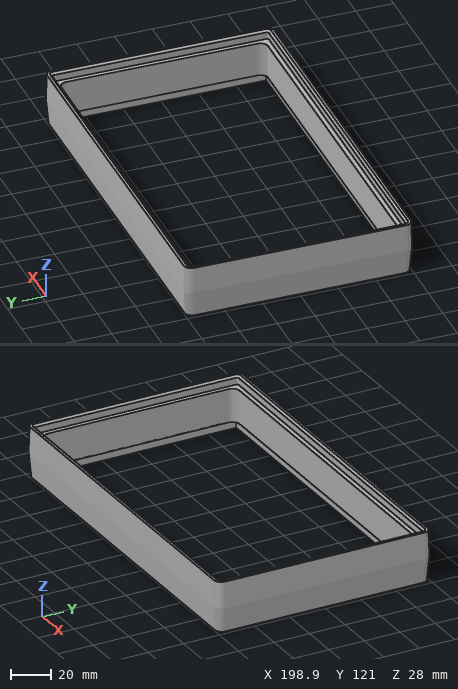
import cadquery as cq

length = 198.9
width = 121.0
height = 28.0
parting_height = 13.7
bottom_draft_inset = 1.0
top_draft_inset = 0.4
shell_corner_radius = 4.0
shell_wall = 3.2

lip_wall = 5.0

cavity_corner_radius = 1.0
mouth_chamfer = 1.2

insert_wall = 2.5
insert_bottom = 4.5
insert_top = 23.0
insert_corner_radius = 4.0


def inset_rectangle(inset, z):
    """Sketch the shell's widest rectangle, moved in by inset on every side."""
    return cq.Workplane("XY", origin=(0, 0, z)).rect(length - 2 * inset, width - 2 * inset)


def inset_block(inset, bottom, top):
    """Extrude an inset rectangle between two heights."""
    return inset_rectangle(inset, bottom).extrude(top - bottom)


def rounded_outline(inset, z):
    """Make the rounded outer outline of the shell at one height."""
    block = inset_block(inset, z, z + 2).edges("|Z").fillet(shell_corner_radius)
    return block.faces("<Z").wires().val()


def drafted_half(lower_inset, lower_z, upper_inset, upper_z):
    """Loft one half of the shell between two rounded outlines."""
    outlines = [rounded_outline(lower_inset, lower_z), rounded_outline(upper_inset, upper_z)]
    return cq.Workplane(cq.Solid.makeLoft(outlines, True))


def cavity_block(bottom, top):
    """Block that fills the shell's cavity between two heights."""
    return inset_block(shell_wall, bottom, top).edges("|Z").fillet(cavity_corner_radius)


def make_shell():
    lower_half = drafted_half(bottom_draft_inset, 0, 0, parting_height)
    upper_half = drafted_half(0, parting_height, top_draft_inset, height)
    cavity = cavity_block(insert_bottom, height)
    lip_opening = inset_block(lip_wall, 0, insert_bottom)
    hollow_shell = lower_half.union(upper_half).cut(cavity).cut(lip_opening)
    mouth_edges = hollow_shell.faces(">Z").wires(cq.selectors.LengthNthSelector(0)).edges()
    return mouth_edges.chamfer(mouth_chamfer)


def make_insert():
    opening = inset_block(shell_wall + insert_wall, insert_bottom, insert_top)
    opening = opening.edges("|Z").fillet(insert_corner_radius)
    return cavity_block(insert_bottom, insert_top).cut(opening)


shell = make_shell()
insert = make_insert()
result = cq.Compound.makeCompound([shell.val(), insert.val()])